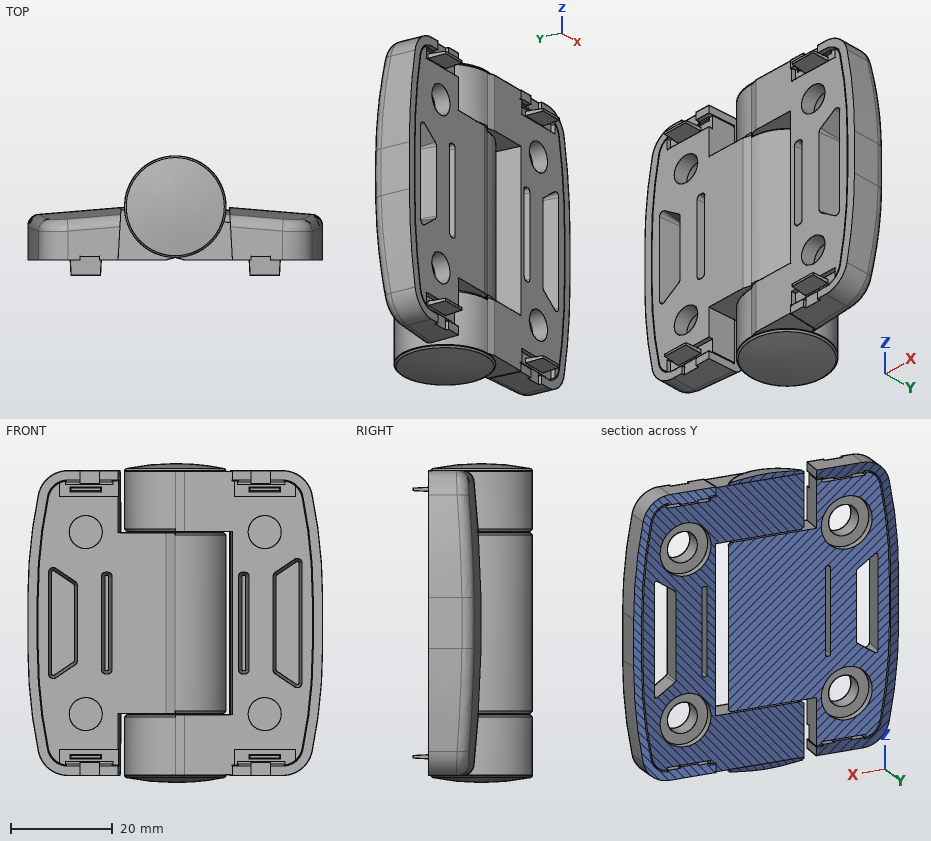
import cadquery as cq
import math


BARREL_RADIUS = 10.0
MIDDLE_HALF_LENGTH = 17.8
KNUCKLE_GAP = 0.2
OUTER_KNUCKLE_START = MIDDLE_HALF_LENGTH + KNUCKLE_GAP
BARREL_END = 29.85
KNUCKLE_CHAMFER = 0.5
CAP_TOP = 31.38
CAP_RIM_HEIGHT = 0.2
CAP_CHAMFER = 0.35

BASE_Y = -10.5
PLATE_TOP_Y = -3.8
PLATE_THICKNESS = PLATE_TOP_Y - BASE_Y
RAMP_WIDTH = 1.8

HALF_WIDTH = 29.0
HALF_HEIGHT = 30.0
STRAIGHT_HALF = 5.0
SIDE_ARC_RADIUS = 100.0
CORNER_RADIUS = 6.0

END_TOP_X = 10.65
END_BASE_X = 11.25
END_SLOPE = (END_BASE_X - END_TOP_X) / -BASE_Y

COVER_WALL = 1.85
PLATE_CLEARANCE = 0.2
PLATE_INSET = COVER_WALL + PLATE_CLEARANCE
COVER_INNER_TOP_Y = -0.1
COVER_SLOPE_ANGLE = 4.8
CROWN_RADIUS = 270.0
COVER_FILLET = 2.4

RIB_INNER_X = 12.4
RIB_OUTER_X = 21.4
RIB_INNER_Z = 27.75
TONGUE_INNER_Z = 27.45
NOTCH_INNER_X = 14.85
NOTCH_OUTER_X = 18.75
NOTCH_DEPTH = 0.7

TAB_CENTER_X = 17.6
TAB_CENTER_Z = 26.3
TAB_WIDTH = 6.25
TAB_THICKNESS = 0.95
TAB_HEIGHT = 3.0
TAB_DRAFT = 3.0
RECESS_WIDTH = 12.0
RECESS_DEPTH = 1.0
RECESS_INNER_Z = 24.9
RIGHT_RECESS_X = 11.65
LEFT_RECESS_X = 10.8

HOLE_X = 17.6
HOLE_Z = 17.9
HOLE_DIAMETER = 6.5
HOLE_LENGTH = 3.5
SCREW_HEAD_DIAMETER = 11.0

POCKET_DEPTH = 5.7
SLOT_DRAFT = 6.5
WEDGE_DRAFT = 6.0
SLOT_INNER_X = 12.45
SLOT_WIDTH = 2.05
SLOT_HALF_LENGTH = 10.0
SLOT_CORNER = 0.8
WEDGE_INNER_X = 19.25
WEDGE_OUTER_X = 24.9
WEDGE_RISE = 3.8
WEDGE_CORNER = 0.9
LEFT_WEDGE_HALF_HEIGHT = 7.9
RIGHT_WEDGE_HALF_HEIGHT = 9.7


def xz_plane(y):
    """Workplane at height y whose extrusions run towards -Y."""
    return cq.Workplane("XZ", origin=(0, y, 0))


def box(x0, x1, y0, y1, z0, z1):
    """Box between opposite corners."""
    return cq.Workplane("XY").box(x1 - x0, y1 - y0, z1 - z0, centered=False).translate((x0, y0, z0))


def mirrored_in_z(solid):
    """A feature together with its copy at the other end of the hinge."""
    return solid.union(solid.mirror("XY"))


def to_left_side(solid):
    """Half turn about Y, which takes a part from the right side to the left."""
    return solid.rotate((0, 0, 0), (0, 1, 0), 180)


def side_prism(inset, y_top):
    """Bowed outline with rounded corners, moved inwards by inset, from the base up to y_top."""
    side_radius = SIDE_ARC_RADIUS - inset
    corner_radius = CORNER_RADIUS - inset
    top_z = HALF_HEIGHT - inset
    side_x = HALF_WIDTH - inset
    side_center_x = HALF_WIDTH - SIDE_ARC_RADIUS
    corner_z = HALF_HEIGHT - CORNER_RADIUS
    angle = math.asin((corner_z - STRAIGHT_HALF) / (SIDE_ARC_RADIUS - CORNER_RADIUS))
    corner_x = side_center_x + (SIDE_ARC_RADIUS - CORNER_RADIUS) * math.cos(angle)

    def on_side(a):
        return (side_center_x + side_radius * math.cos(a), STRAIGHT_HALF + side_radius * math.sin(a))

    def on_corner(a):
        return (corner_x + corner_radius * math.cos(a), corner_z + corner_radius * math.sin(a))

    def below(point):
        return (point[0], -point[1])

    side_middle = on_side(angle / 2)
    side_end = on_side(angle)
    corner_middle = on_corner((angle + math.pi / 2) / 2)
    outline = (
        xz_plane(y_top)
        .moveTo(0, -top_z)
        .lineTo(corner_x, -top_z)
        .threePointArc(below(corner_middle), below(side_end))
        .threePointArc(below(side_middle), (side_x, -STRAIGHT_HALF))
        .lineTo(side_x, STRAIGHT_HALF)
        .threePointArc(side_middle, side_end)
        .threePointArc(corner_middle, (corner_x, top_z))
        .lineTo(0, top_z)
        .close()
    )
    return outline.extrude(y_top - BASE_Y)


def outboard_space():
    """Everything outboard of the sloping inner end."""
    far_x = HALF_WIDTH + BARREL_RADIUS
    low_y = BASE_Y - BARREL_RADIUS
    high_y = BARREL_RADIUS
    return (
        cq.Workplane("XY", origin=(0, 0, -CAP_TOP))
        .polyline(
            [
                (END_TOP_X - END_SLOPE * low_y, low_y),
                (far_x, low_y),
                (far_x, high_y),
                (END_TOP_X - END_SLOPE * high_y, high_y),
            ]
        )
        .close()
        .extrude(2 * CAP_TOP)
    )


def crowned_space():
    """Space below the cover's top, crowned along Z and falling away from the barrel."""
    length = 2 * HALF_WIDTH
    axis_top_y = COVER_INNER_TOP_Y + END_TOP_X * math.tan(math.radians(COVER_SLOPE_ANGLE))
    return (
        cq.Workplane("YZ", origin=(-HALF_WIDTH / 2, 0, 0))
        .center(-CROWN_RADIUS, 0)
        .circle(CROWN_RADIUS)
        .extrude(length)
        .rotate((0, 0, 0), (0, 0, 1), -COVER_SLOPE_ANGLE)
        .translate((0, axis_top_y, 0))
    )


def rounded_side():
    """Solid shape of a side: crowned, rounded along its outer rim and running in to the axis."""
    block = side_prism(0, BARREL_RADIUS).intersect(crowned_space())
    return block.faces(">Y").edges("not <X").fillet(COVER_FILLET)


def along_knuckles(make, middle):
    """make(z0, z1) over the middle knuckle or over both outer knuckles."""
    if middle:
        return make(-MIDDLE_HALF_LENGTH, MIDDLE_HALF_LENGTH)
    return mirrored_in_z(make(OUTER_KNUCKLE_START, BARREL_END))


def knuckle(z0, z1):
    """Length of barrel with chamfered inner rims and the neck that joins it to the plate."""
    barrel = cq.Workplane("XY", origin=(0, 0, z0)).circle(BARREL_RADIUS).extrude(z1 - z0)
    barrel = barrel.rotate((0, 0, 0), (0, 0, 1), 180)
    barrel = barrel.faces("<Z").chamfer(KNUCKLE_CHAMFER)
    if z1 < BARREL_END:
        barrel = barrel.faces(">Z").chamfer(KNUCKLE_CHAMFER)
    neck_space = (
        cq.Workplane("XY", origin=(0, 0, z0))
        .polyline(
            [
                (0, BARREL_RADIUS),
                (0, -BARREL_RADIUS),
                (RAMP_WIDTH, BASE_Y),
                (END_BASE_X, BASE_Y),
                (END_TOP_X - END_SLOPE * BARREL_RADIUS, BARREL_RADIUS),
            ]
        )
        .close()
        .extrude(z1 - z0)
    )
    return barrel.union(rounded_side().intersect(neck_space))


def screw_holes():
    """Screw clearance holes with head counterbores on the cover side."""
    centers = [(HOLE_X, HOLE_Z), (HOLE_X, -HOLE_Z)]
    holes = xz_plane(PLATE_TOP_Y).pushPoints(centers).circle(HOLE_DIAMETER / 2).extrude(PLATE_THICKNESS)
    heads = (
        xz_plane(PLATE_TOP_Y)
        .pushPoints(centers)
        .circle(SCREW_HEAD_DIAMETER / 2)
        .extrude(PLATE_THICKNESS - HOLE_LENGTH)
    )
    return holes.union(heads)


def drafted_pocket(points, corner, draft):
    """Pocket sunk from the base, narrowing towards its floor."""
    sketch = cq.Sketch().polygon(points + points[:1]).vertices().fillet(corner)
    return xz_plane(BASE_Y).placeSketch(sketch).extrude(-POCKET_DEPTH, taper=draft)


def slot_pocket():
    """Narrow rectangular pocket near the barrel."""
    outer_x = SLOT_INNER_X + SLOT_WIDTH
    return drafted_pocket(
        [
            (SLOT_INNER_X, -SLOT_HALF_LENGTH),
            (outer_x, -SLOT_HALF_LENGTH),
            (outer_x, SLOT_HALF_LENGTH),
            (SLOT_INNER_X, SLOT_HALF_LENGTH),
        ],
        SLOT_CORNER,
        SLOT_DRAFT,
    )


def wedge_pocket(inner_half_height):
    """Trapezoidal pocket whose longer side faces the outer rim."""
    outer_half_height = inner_half_height + WEDGE_RISE
    return drafted_pocket(
        [
            (WEDGE_INNER_X, -inner_half_height),
            (WEDGE_OUTER_X, -outer_half_height),
            (WEDGE_OUTER_X, outer_half_height),
            (WEDGE_INNER_X, inner_half_height),
        ],
        WEDGE_CORNER,
        WEDGE_DRAFT,
    )


def tab():
    """Drafted locating tab that rises from the floor of its recess."""
    return (
        xz_plane(BASE_Y + RECESS_DEPTH)
        .center(TAB_CENTER_X, TAB_CENTER_Z)
        .rect(TAB_WIDTH, TAB_THICKNESS)
        .extrude(TAB_HEIGHT + RECESS_DEPTH, taper=TAB_DRAFT)
    )


def leaf(middle, wedge_half_height, recess_x):
    """Plate with its knuckles, screw holes, pockets and locating tabs."""
    plate = side_prism(PLATE_INSET, PLATE_TOP_Y).intersect(outboard_space())
    recess = box(
        recess_x, recess_x + RECESS_WIDTH, BASE_Y, BASE_Y + RECESS_DEPTH, RECESS_INNER_Z, HALF_HEIGHT
    )
    rib_gap = box(
        RIB_INNER_X - PLATE_CLEARANCE,
        RIB_OUTER_X + PLATE_CLEARANCE,
        BASE_Y,
        PLATE_TOP_Y,
        TONGUE_INNER_Z - PLATE_CLEARANCE,
        HALF_HEIGHT,
    )
    return (
        plate.cut(mirrored_in_z(recess))
        .cut(mirrored_in_z(rib_gap))
        .union(along_knuckles(knuckle, middle))
        .cut(screw_holes())
        .cut(slot_pocket())
        .cut(wedge_pocket(wedge_half_height))
        .union(mirrored_in_z(tab()))
    )


def rib():
    """Thickened length of the end wall, with a tongue down to the notch floor."""
    side_y = BASE_Y + RECESS_DEPTH
    tongue_y = BASE_Y + NOTCH_DEPTH
    wall_z = HALF_HEIGHT - COVER_WALL
    side = box(RIB_INNER_X, RIB_OUTER_X, side_y, PLATE_TOP_Y, RIB_INNER_Z, wall_z)
    tongue = box(NOTCH_INNER_X, NOTCH_OUTER_X, tongue_y, PLATE_TOP_Y, TONGUE_INNER_Z, wall_z)
    return side.union(tongue)


def cover():
    """Rounded shell that drops over the plate and is open at the base."""
    shell = rounded_side().intersect(outboard_space()).cut(side_prism(COVER_WALL, PLATE_TOP_Y))
    notch = box(
        NOTCH_INNER_X,
        NOTCH_OUTER_X,
        BASE_Y,
        BASE_Y + NOTCH_DEPTH,
        TONGUE_INNER_Z,
        HALF_HEIGHT,
    )
    return shell.union(mirrored_in_z(rib())).cut(mirrored_in_z(notch))


def end_cap():
    """Domed disc on the upper end of the barrel."""
    rim_z = BARREL_END + CAP_RIM_HEIGHT
    dome_z = rim_z + CAP_CHAMFER
    dome_radius = BARREL_RADIUS - CAP_CHAMFER
    rise = CAP_TOP - dome_z
    sphere_radius = (dome_radius**2 + rise**2) / (2 * rise)
    half_angle = math.asin(dome_radius / sphere_radius) / 2
    arc_middle = (
        sphere_radius * math.sin(half_angle),
        CAP_TOP - sphere_radius * (1 - math.cos(half_angle)),
    )
    return (
        cq.Workplane("XZ")
        .moveTo(0, BARREL_END)
        .lineTo(BARREL_RADIUS, BARREL_END)
        .lineTo(BARREL_RADIUS, rim_z)
        .lineTo(dome_radius, dome_z)
        .threePointArc(arc_middle, (0, CAP_TOP))
        .close()
        .revolve(360, (0, 0, 0), (0, 1, 0))
    )


left_leaf = to_left_side(leaf(True, LEFT_WEDGE_HALF_HEIGHT, LEFT_RECESS_X))
right_leaf = leaf(False, RIGHT_WEDGE_HALF_HEIGHT, RIGHT_RECESS_X)
right_cover = cover()
left_cover = to_left_side(right_cover)
upper_cap = end_cap()
lower_cap = upper_cap.mirror("XY")

result = cq.Compound.makeCompound(
    [
        left_leaf.solids().val().fix(),
        right_leaf.solids().val(),
        left_cover.solids().val(),
        right_cover.solids().val(),
        upper_cap.solids().val(),
        lower_cap.solids().val(),
    ]
)